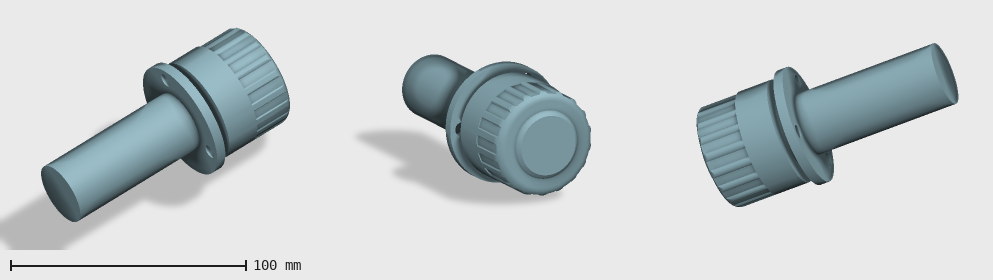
import cadquery as cq
import math

TOTAL_LENGTH = 109.0
SHAFT_LENGTH = 64.0
FLANGE_THICKNESS = 4.4
NECK_LENGTH = 4.3
BAND_LENGTH = 14.9
CAP_HEIGHT = 2.0
CAP_CONE_ANGLE = 45

SHAFT_RADIUS = 27.5 / 2
FLANGE_RADIUS = 52.0 / 2
NECK_RADIUS = 30.0 / 2
BAND_RADIUS = 46.5 / 2

ROOT_HEIGHT = 1.9
ROOT_WIDTH = 1.4

HOLE_COUNT = 3
HOLE_DIAMETER = 6.0
HOLE_CIRCLE_RADIUS = 20.6

GRIP_OFFSET = 0.7
GRIP_RADIUS = 22.1
GRIP_ROUNDING = 4.0
RIB_COUNT = 18
RIB_WIDTH = 3.7
RIB_CREST_RADIUS = 23.1

flange_start = SHAFT_LENGTH
neck_start = flange_start + FLANGE_THICKNESS
band_start = neck_start + NECK_LENGTH
grip_start = band_start + BAND_LENGTH
grip_end = TOTAL_LENGTH - CAP_HEIGHT


def disc(start, end, radius, x=0, z=0):
    """Cylinder parallel to Y between two stations."""
    return cq.Workplane("XZ", origin=(x, start, z)).circle(radius).extrude(start - end)


def make_body():
    """Turned shaft, flange, neck with rounded root, and smooth band."""
    root_radius = (ROOT_HEIGHT**2 + ROOT_WIDTH**2) / (2 * ROOT_WIDTH)
    half_sweep = math.asin(ROOT_HEIGHT / root_radius) / 2
    root_top = neck_start + ROOT_HEIGHT
    arc_middle = (
        NECK_RADIUS + root_radius * (1 - math.cos(half_sweep)),
        root_top - root_radius * math.sin(half_sweep),
    )
    return (
        cq.Workplane("XY")
        .moveTo(0, 0)
        .lineTo(SHAFT_RADIUS, 0)
        .lineTo(SHAFT_RADIUS, flange_start)
        .lineTo(FLANGE_RADIUS, flange_start)
        .lineTo(FLANGE_RADIUS, neck_start)
        .lineTo(NECK_RADIUS + ROOT_WIDTH, neck_start)
        .threePointArc(arc_middle, (NECK_RADIUS, root_top))
        .lineTo(NECK_RADIUS, band_start)
        .lineTo(BAND_RADIUS, band_start)
        .lineTo(BAND_RADIUS, grip_start)
        .lineTo(0, grip_start)
        .close()
        .revolve(360, (0, 0), (0, 1))
    )


def make_grip():
    """Offset cylinder with convex ribs, trimmed by a rounded disc on the common axis."""
    grip = disc(grip_start, grip_end, GRIP_RADIUS, GRIP_OFFSET)
    half_width = RIB_WIDTH / 2
    rib_height = RIB_CREST_RADIUS - math.sqrt(GRIP_RADIUS**2 - half_width**2)
    rib_radius = (half_width**2 + rib_height**2) / (2 * rib_height)
    rib_circle_radius = RIB_CREST_RADIUS - rib_radius
    pitch = 2 * math.pi / RIB_COUNT
    for index in range(RIB_COUNT):
        angle = (index + 0.5) * pitch
        x = GRIP_OFFSET + rib_circle_radius * math.cos(angle)
        z = rib_circle_radius * math.sin(angle)
        grip = grip.union(disc(grip_start, grip_end, rib_radius, x, z))
    envelope = disc(grip_start, grip_end, BAND_RADIUS).faces(">Y").edges().fillet(GRIP_ROUNDING)
    return grip.intersect(envelope)


def make_cap():
    """Raised end disc with a 45 degree cone all round, as wide at its base as the neck."""
    return (
        cq.Workplane("XZ", origin=(0, grip_end, 0))
        .circle(NECK_RADIUS)
        .extrude(-CAP_HEIGHT, taper=CAP_CONE_ANGLE)
    )


def make_flange_holes():
    """Evenly spaced through holes, the first on the +X side."""
    return (
        cq.Workplane("XZ", origin=(0, flange_start, 0))
        .polarArray(HOLE_CIRCLE_RADIUS, 0, 360, HOLE_COUNT)
        .circle(HOLE_DIAMETER / 2)
        .extrude(-FLANGE_THICKNESS)
    )


result = make_body().union(make_grip()).union(make_cap()).cut(make_flange_holes())